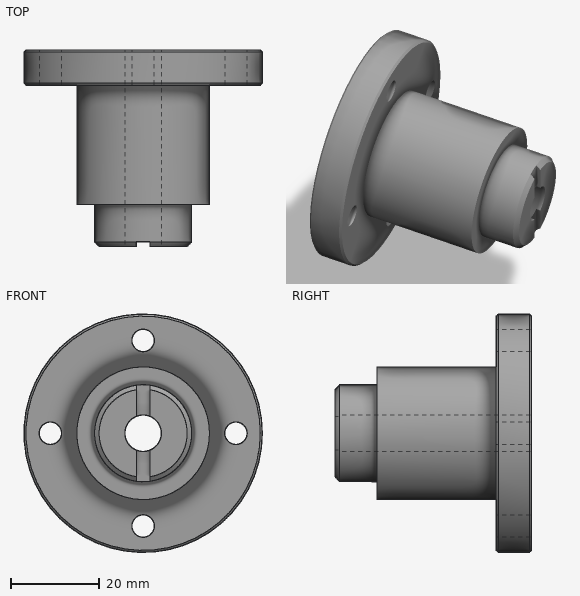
import cadquery as cq

flange_diameter = 54.0
flange_thickness = 8.0
flange_chamfer = 0.5

body_diameter = 30.0
body_length = 27.0
spigot_diameter = 22.0
spigot_length = 9.5
spigot_chamfer = 1.0

bore_diameter = 8.2
bolt_hole_diameter = 5.0
bolt_circle_diameter = 42.0
bolt_hole_count = 4
slot_width = 3.0
slot_depth = 1.0

flange_front = -flange_thickness
body_front = flange_front - body_length
spigot_front = body_front - spigot_length


def cylinder(diameter, start_y, length):
    """Solid cylinder on the Y axis, running from start_y towards -Y."""
    plane = cq.Workplane("XZ", origin=(0, start_y, 0))
    return plane.circle(diameter / 2).extrude(length)


def bolt_holes():
    """Cutters for the ring of holes through the flange."""
    return (
        cq.Workplane("XZ")
        .polarArray(bolt_circle_diameter / 2, 0, 360, bolt_hole_count)
        .circle(bolt_hole_diameter / 2)
        .extrude(flange_thickness)
    )


def end_slot():
    """Cutter for the slot running along Z across the spigot's end face."""
    return (
        cq.Workplane("XZ", origin=(0, spigot_front + slot_depth, 0))
        .rect(slot_width, spigot_diameter)
        .extrude(slot_depth)
    )


flange = cylinder(flange_diameter, 0, flange_thickness).edges().chamfer(flange_chamfer)
body = cylinder(body_diameter, flange_front, body_length)
spigot = cylinder(spigot_diameter, body_front, spigot_length).faces("<Y").chamfer(spigot_chamfer)
bore = cylinder(bore_diameter, 0, -spigot_front)

result = flange.union(body).union(spigot).cut(bore).cut(bolt_holes()).cut(end_slot())